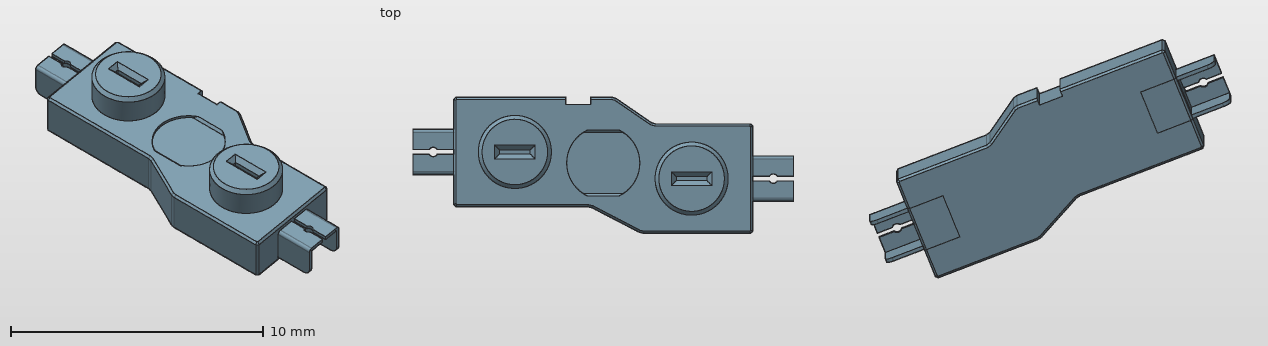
import cadquery as cq

HOUSING_LENGTH = 11.87
HOUSING_HEIGHT = 1.83
HALF_WIDTH = 4.35
STEP_Y = 1.05
BACK_SLANT_X = (0.44, 1.98)
FRONT_SLANT_X = (-0.53, 1.51)
EDGE_CHAMFER = 0.09

HALF_CENTER_Y = STEP_Y / 2
OUTER_Y = (HALF_WIDTH + STEP_Y) / 2
INNER_Y = OUTER_Y - STEP_Y
END_WALL_X = HOUSING_LENGTH / 2

NOTCH_LEFT_X = -1.48
NOTCH_WIDTH = 0.98
NOTCH_DEPTH = 0.29

RECESS_CENTER_Y = 0.09
RECESS_DIAMETER = 2.9
RECESS_FLOOR_FLATS = 2.42
RECESS_DEPTH = 0.1

STUD_SPACING = 7.0
STUD_DIAMETER = 2.9
STUD_HEIGHT = 1.18
STUD_CHAMFER = 0.15
SOCKET_LENGTH = 1.21
SOCKET_WIDTH = 0.15
SOCKET_LEAD_IN = 0.2

TERMINAL_END_X = 7.55
TERMINAL_WIDTH = 1.81
TERMINAL_TOP = 1.59
TERMINAL_BOTTOM = 0.2
TERMINAL_THICKNESS = 0.15
TERMINAL_BEND_RADIUS = 0.14
TERMINAL_TIP_RADIUS = 0.3
TERMINAL_INSERTION = 1.51
SLIT_WIDTH = 0.18
SLIT_INSERTION = 0.3
SLIT_HOLE_DIAMETER = 0.36

PLUG_HEIGHT = 0.5

SIDES = (-1, 1)


def center_y(side):
    """Y of the middle of one housing half, shared by its stud, terminal and plug."""
    return -side * HALF_CENTER_Y


def make_envelope():
    """Chamfered housing block, before any stud, recess or cavity."""
    return (
        cq.Workplane("XY")
        .polyline([
            (-END_WALL_X, -INNER_Y),
            (FRONT_SLANT_X[0], -INNER_Y),
            (FRONT_SLANT_X[1], -OUTER_Y),
            (END_WALL_X, -OUTER_Y),
            (END_WALL_X, INNER_Y),
            (BACK_SLANT_X[1], INNER_Y),
            (BACK_SLANT_X[0], OUTER_Y),
            (-END_WALL_X, OUTER_Y),
        ])
        .close()
        .extrude(HOUSING_HEIGHT)
        .edges("|Z").chamfer(EDGE_CHAMFER)
        .faces("<Z or >Z").edges().chamfer(EDGE_CHAMFER)
    )


def make_notch():
    return (
        cq.Workplane("XY")
        .box(NOTCH_WIDTH, NOTCH_DEPTH, HOUSING_HEIGHT, centered=False)
        .translate((NOTCH_LEFT_X, OUTER_Y - NOTCH_DEPTH, 0))
    )


def make_recess():
    """Disc trimmed by two flats that lean outwards at 45 degrees."""
    disc = cq.Workplane("XY").circle(RECESS_DIAMETER / 2).extrude(RECESS_DEPTH)
    floor_half = RECESS_FLOOR_FLATS / 2
    top_half = floor_half + RECESS_DEPTH
    flats = (
        cq.Workplane("YZ")
        .polyline([
            (-floor_half, 0),
            (floor_half, 0),
            (top_half, RECESS_DEPTH),
            (-top_half, RECESS_DEPTH),
        ])
        .close()
        .extrude(RECESS_DIAMETER / 2, both=True)
    )
    return disc.intersect(flats).translate((0, RECESS_CENTER_Y, HOUSING_HEIGHT - RECESS_DEPTH))


def make_stud(side):
    socket = cq.Workplane("XY").box(
        SOCKET_LENGTH, SOCKET_WIDTH, STUD_HEIGHT, centered=(True, True, False)
    )
    lead_in = (
        cq.Workplane("XY")
        .workplane(offset=STUD_HEIGHT)
        .rect(SOCKET_LENGTH + 2 * SOCKET_LEAD_IN, SOCKET_WIDTH + 2 * SOCKET_LEAD_IN)
        .extrude(-SOCKET_LEAD_IN, taper=45)
    )
    stud = (
        cq.Workplane("XY")
        .circle(STUD_DIAMETER / 2)
        .extrude(STUD_HEIGHT)
        .faces(">Z").edges().chamfer(STUD_CHAMFER)
        .cut(socket)
        .cut(lead_in)
    )
    stud_x = side * STUD_SPACING / 2
    return stud.translate((stud_x, center_y(side), HOUSING_HEIGHT))


def make_terminal(side):
    """Slit U channel, drawn for the right end and turned about Z for the left end."""
    outside = TERMINAL_END_X - END_WALL_X
    length = outside + TERMINAL_INSERTION
    height = TERMINAL_TOP - TERMINAL_BOTTOM
    channel = (
        cq.Workplane("XY")
        .box(length, TERMINAL_WIDTH, height, centered=(False, True, False))
        .edges("|X and >Z").fillet(TERMINAL_BEND_RADIUS)
        .edges("|Y and >X and <Z").fillet(TERMINAL_TIP_RADIUS)
    )
    inside = cq.Workplane("XY").box(
        length,
        TERMINAL_WIDTH - 2 * TERMINAL_THICKNESS,
        height - TERMINAL_THICKNESS,
        centered=(False, True, False),
    )
    slit = (
        cq.Workplane("XY")
        .box(outside + SLIT_INSERTION, SLIT_WIDTH, height, centered=(False, True, False))
        .translate((TERMINAL_INSERTION - SLIT_INSERTION, 0, 0))
    )
    hole = (
        cq.Workplane("XY")
        .center(TERMINAL_INSERTION + outside / 2, 0)
        .circle(SLIT_HOLE_DIAMETER / 2)
        .extrude(height)
    )
    terminal = channel.cut(inside).cut(slit).cut(hole)
    if side < 0:
        terminal = terminal.rotate((0, 0, 0), (0, 0, 1), 180)
    inner_x = side * (END_WALL_X - TERMINAL_INSERTION)
    return terminal.translate((inner_x, center_y(side), TERMINAL_BOTTOM))


def make_plug_space(side):
    """Plain block that a plug and the lower ends of the terminal legs share."""
    middle_x = side * (END_WALL_X - TERMINAL_INSERTION / 2)
    return (
        cq.Workplane("XY")
        .box(TERMINAL_INSERTION, TERMINAL_WIDTH, PLUG_HEIGHT, centered=(True, True, False))
        .translate((middle_x, center_y(side), 0))
    )


def make_plug(side):
    return make_envelope().intersect(make_plug_space(side)).cut(make_terminal(side))


def make_housing():
    housing = make_envelope().cut(make_notch()).cut(make_recess())
    for side in SIDES:
        housing = housing.union(make_stud(side))
        housing = housing.cut(make_plug_space(side)).cut(make_terminal(side))
    return housing


housing = make_housing()
terminals = [make_terminal(side) for side in SIDES]
plugs = [make_plug(side) for side in SIDES]

result = cq.Compound.makeCompound([
    housing.solids().val(),
    *[terminal.solids().val() for terminal in terminals],
    *[plug.solids().val() for plug in plugs],
])